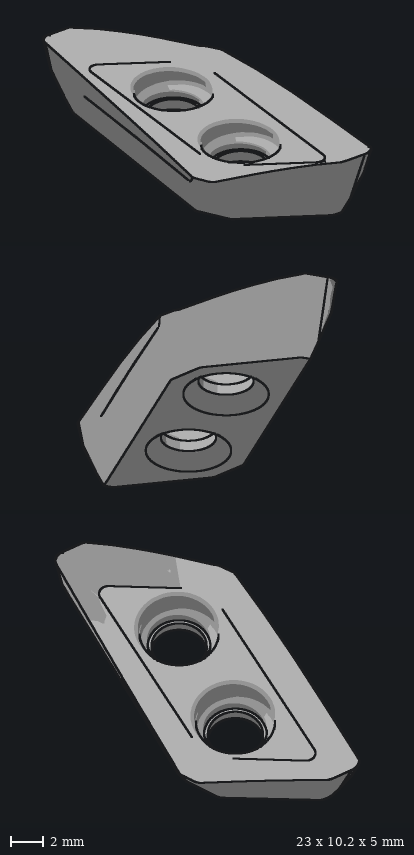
import cadquery as cq
import math


thickness = 5.0
clearance_angle = 20.0
chamfer_clearance_angle = 26.7

end_x = 9.68
sharp_corner = (-end_x, -3.5)
blunt_corner = (4.37, -3.89)
chamfer_end = (6.45, -2.67)
slant_end = (end_x, 2.9)
blunt_blend_radius = 0.41
chamfer_blend_radius = 0.8
end_blend_radius = 0.92

land_sections = [
    ((-13.8, -4.5, 3.04), (-60.0, -4.7, 5.0)),
    ((-10.8, -4.6, 3.05), (-47.0, -4.78, 4.97)),
    ((-1.72, -4.85, 3.17), (-7.5, -5.05, 4.42)),
    ((5.82, -5.04, 3.04), (25.3, -5.13, 3.68)),
    ((9.2, -5.1, 2.9), (40.0, -5.13, 3.27)),
]
land_cutter_y = -6.9

sharp_rounding = [
    ((-10.1, -3.86), (-10.07, -3.89), 1.15),
    ((-10.79, -3.93), (-10.45, -4.58), 3.05),
    ((-11.5, -4.0), (-10.8, -4.78), thickness),
]
sharp_outside = (-12.2, -5.75)

hole_x, hole_y = 3.75, -0.05
rim_radius = 2.97
lip_radius = 0.5
head_radius = rim_radius - lip_radius
seat_blend_radius = 0.5
seat_blend_z = 2.75
seat_angle = math.radians(40)
neck_radius = 1.95
neck_z = 1.68
neck_blend_radius = 0.23
bore_radius = 1.72
relief_depth = 0.95

floor_z = 3.59
floor_half_width = 3.13
floor_corner_radius = 0.58
slant_angle = math.radians(59.4)

long_edge = [(5.82, -5.1, 3.59), (0.15, -5.1, 4.25), (-5.05, -5.0, 4.65), (-10.8, -4.78, 4.97)]
sharp_edge = [long_edge[-1], (-11.3, -4.55, thickness), (-11.5, -4.0, thickness)]
end_edge = [sharp_edge[-1], (-11.5, -2.25, thickness)]
slant_edge = [end_edge[-1], (-10.42, -0.75, 4.75), (-9.43, 0.75, 4.48), (-8.3, 2.28, 4.1)]
slant_edge_end = [slant_edge[-1], (-7.04, 4.35, 3.55)]
chamfer_edge = [slant_edge_end[-1], (-5.82, 5.1, 3.59)]
wall_overrun = 1.4
wall_samples = 7

cutter_top_z = 9.2


def turned(point):
    """The 2D point after half a turn about Z."""
    return (-point[0], -point[1])


def turned_copy(shape):
    return shape.rotate((0, 0, 0), (0, 0, 1), 180)


def with_turned(shapes):
    return shapes + [turned_copy(shape) for shape in shapes]


def make_curve(points):
    """A line through two points, an arc through three, or a spline through more."""
    vectors = [cq.Vector(*p) for p in points]
    if len(vectors) == 2:
        return cq.Edge.makeLine(*vectors)
    if len(vectors) == 3:
        return cq.Edge.makeThreePointArc(*vectors)
    return cq.Edge.makeSpline(vectors)


def offset_corner(before, corner, after, offset_before, offset_after):
    """The corner of a counterclockwise outline after its two sides move outwards."""
    angle_before = math.atan2(corner[1] - before[1], corner[0] - before[0])
    angle_after = math.atan2(after[1] - corner[1], after[0] - corner[0])
    turn = math.sin(angle_after - angle_before)
    along_before = offset_after / turn
    along_after = offset_before / turn
    return (
        corner[0] + along_before * math.cos(angle_before) - along_after * math.cos(angle_after),
        corner[1] + along_before * math.sin(angle_before) - along_after * math.sin(angle_after),
    )


def make_blank():
    """Prism whose eight sides lean outwards, with all but the sharp corners blended."""
    half = [sharp_corner, blunt_corner, chamfer_end, slant_end]
    bottom = half + [turned(p) for p in half]
    flare = thickness * math.tan(math.radians(clearance_angle))
    chamfer_flare = thickness * math.tan(math.radians(chamfer_clearance_angle))
    flares = [flare, chamfer_flare, flare, flare] * 2
    following = bottom[1:] + bottom[:1]
    top = [
        offset_corner(bottom[i - 1], bottom[i], following[i], flares[i - 1], flares[i])
        for i in range(len(bottom))
    ]
    blank = (
        cq.Workplane("XY")
        .polyline(bottom).close()
        .workplane(offset=thickness)
        .polyline(top).close()
        .loft(ruled=True)
    )
    blends = [
        (blunt_corner, blunt_blend_radius),
        (chamfer_end, chamfer_blend_radius),
        (slant_end, end_blend_radius),
    ]
    for corner, radius in blends:
        for x, y in (corner, turned(corner)):
            foot = cq.Vertex.makeVertex(x, y, 0)
            edge = min(blank.edges("not #Z").vals(), key=foot.distance)
            blank = blank.newObject([edge]).fillet(radius)
    return blank.val()


def make_land_cutter():
    """Trims the blank along the twisted land under the long cutting edge."""
    wires = []
    for low, high in land_sections:
        x, low_y, low_z = low
        rise = (cutter_top_z - low_z) / (high[2] - low_z)
        top_y = low_y + rise * (high[1] - low_y)
        corners = [
            (x, low_y, low_z),
            (x, top_y, cutter_top_z),
            (x, land_cutter_y, cutter_top_z),
            (x, land_cutter_y, low_z),
        ]
        wires.append(cq.Wire.makePolygon([cq.Vector(*p) for p in corners], close=True))
    return cq.Solid.makeLoft(wires)


def make_sharp_corner_cutter():
    """Rounds the sharp corner, with a radius that shrinks to nearly nothing lower down."""
    along_end_face = cq.Vector(0, -1, 0)
    along_side = cq.Vector(1, 0, 0)
    wires = []
    for start_place, end_place, z in sharp_rounding:
        start = cq.Vector(*start_place, z)
        end = cq.Vector(*end_place, z)
        outside = cq.Vector(*sharp_outside, z)
        wires.append(cq.Wire.assembleEdges([
            cq.Edge.makeSpline([start, end], tangents=[along_end_face, along_side]),
            cq.Edge.makeLine(end, outside),
            cq.Edge.makeLine(outside, start),
        ]))
    return cq.Solid.makeLoft(wires, True)


def make_hole():
    """Stepped screw hole: rounded mouth, head wall, conical seat, neck, bore and relief."""
    blend_x = head_radius - seat_blend_radius
    blend_end = math.pi / 2 - seat_angle

    def on_seat_blend(angle):
        return (
            blend_x + seat_blend_radius * math.cos(angle),
            seat_blend_z - seat_blend_radius * math.sin(angle),
        )

    seat_top = on_seat_blend(blend_end)
    neck_blend_x = neck_radius + neck_blend_radius
    seat_bottom_x = neck_blend_x - neck_blend_radius * math.cos(blend_end)
    seat_bottom_z = seat_top[1] - (seat_top[0] - seat_bottom_x) * math.tan(seat_angle)
    neck_blend_z = seat_bottom_z - neck_blend_radius * math.sin(blend_end)
    neck_blend_middle = (
        neck_blend_x - neck_blend_radius * math.cos(blend_end / 2),
        neck_blend_z + neck_blend_radius * math.sin(blend_end / 2),
    )
    lip_z = floor_z - lip_radius
    lip_middle = lip_radius * math.sqrt(0.5)
    return (
        cq.Workplane("XZ")
        .lineTo(bore_radius + relief_depth, 0)
        .lineTo(bore_radius, relief_depth)
        .lineTo(bore_radius, neck_z)
        .lineTo(neck_radius, neck_z)
        .lineTo(neck_radius, neck_blend_z)
        .threePointArc(neck_blend_middle, (seat_bottom_x, seat_bottom_z))
        .lineTo(*seat_top)
        .threePointArc(on_seat_blend(blend_end / 2), (head_radius, seat_blend_z))
        .lineTo(head_radius, lip_z)
        .threePointArc((rim_radius - lip_middle, lip_z + lip_middle), (rim_radius, floor_z))
        .lineTo(rim_radius, cutter_top_z)
        .lineTo(0, cutter_top_z)
        .close()
        .revolve(360, (0, 0, 0), (0, 1, 0))
        .translate((hole_x, hole_y, 0))
        .val()
    )


def make_floor_edges():
    """Half of the floor outline, in step with the pieces of the cutting edge."""
    bend_radius = floor_half_width + hole_y
    bend_start = slant_angle + math.pi / 2
    bend_split = math.radians(115)
    corner_split = math.radians(235)

    def arc_points(x, y, radius, *angles):
        return [(x + radius * math.cos(a), y + radius * math.sin(a), floor_z) for a in angles]

    def arc_around_hole(a, b):
        return arc_points(-hole_x, -hole_y, bend_radius, a, (a + b) / 2, b)

    bend_a = arc_around_hole(bend_start, bend_split)
    bend_b = arc_around_hole(bend_split, math.pi / 2)

    slant_top_x, slant_top_y, _ = bend_a[0]
    tip_x = slant_top_x - (slant_top_y + floor_half_width) / math.tan(slant_angle)
    corner_x = tip_x + floor_corner_radius / math.tan(slant_angle / 2)
    corner_y = floor_corner_radius - floor_half_width

    def arc_in_corner(a, b):
        return arc_points(corner_x, corner_y, floor_corner_radius, a, (a + b) / 2, b)

    corner_a = arc_in_corner(1.5 * math.pi, corner_split)
    corner_b = arc_in_corner(corner_split, bend_start)

    long_side = [(hole_x, -floor_half_width, floor_z), corner_a[0]]
    slant_side = [corner_b[-1], bend_a[0]]
    return [make_curve(p) for p in (long_side, corner_a, corner_b, slant_side, bend_a, bend_b)]


def make_pocket_cutter():
    """Everything above the flat floor and the straight-ruled walls rising from it."""
    pieces = (long_edge, sharp_edge, end_edge, slant_edge, slant_edge_end, chamfer_edge)
    floor_edges = make_floor_edges()
    walls = []
    lid_edges = []
    for floor_edge, points in zip(floor_edges, pieces):
        cutting_edge = make_curve(points)
        outer_points = []
        for i in range(wall_samples):
            t = i / (wall_samples - 1)
            foot = floor_edge.positionAt(t)
            outer_points.append(foot + (cutting_edge.positionAt(t) - foot) * wall_overrun)
        outer = cq.Edge.makeSpline(outer_points)
        lid = cq.Edge.makeSpline([cq.Vector(p.x, p.y, cutter_top_z) for p in outer_points])
        walls.append(cq.Face.makeRuledSurface(floor_edge, outer))
        walls.append(cq.Face.makeRuledSurface(outer, lid))
        lid_edges.append(lid)
    caps = [
        cq.Face.makeFromWires(cq.Wire.assembleEdges(with_turned(edges)))
        for edges in (floor_edges, lid_edges)
    ]
    return cq.Solid.makeSolid(cq.Shell.makeShell(with_turned(walls) + caps)).fix()


body = make_blank()
for cutter in (make_land_cutter(), make_sharp_corner_cutter(), make_hole()):
    body = body.cut(*with_turned([cutter]))
body = body.cut(make_pocket_cutter())
result = cq.Workplane(body.Solids()[0])